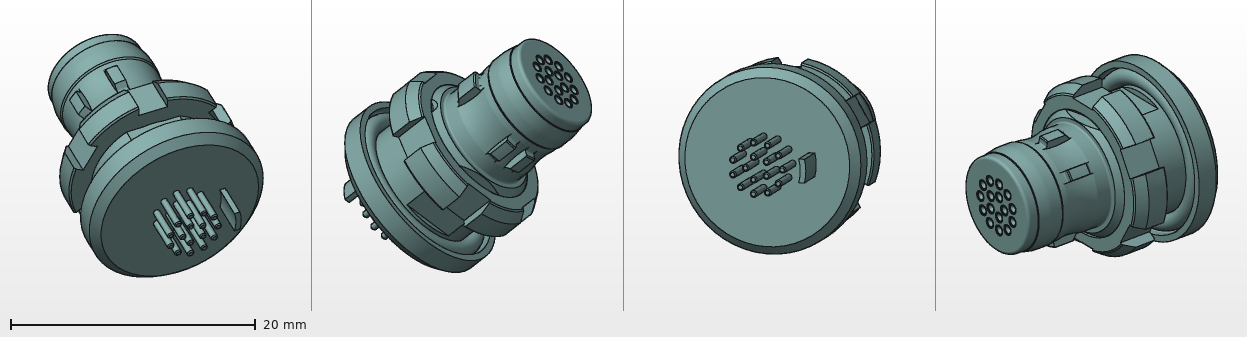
import cadquery as cq
import math


nose_radius = 4.22
nose_round = 0.27
nose_end = 0.98
barrel_start = 1.05
barrel_start_radius = 4.28
barrel_crown = 2.23
barrel_radius = 4.47
barrel_end = 3.32
neck_start = 3.48
neck_radius = 4.37
waist_start = 4.08
waist_end = 7.01
waist_sag = 0.18

body_front = 8.45
body_radius = 5.51
body_bevel = 0.57
body_flat_distance = 4.98
body_root_fillet = 0.16

notch_half_width = 0.75
notch_bottom = 5.1
notch_top = 5.45
notch_round_radius = 1.15
notch_depth = 0.68

nut_front = 8.95
nut_rear = 12.01
nut_radius = 7.45
nut_front_radius = 6.7
nut_front_edge = 0.1
nut_bevel_length = 1.02
nut_bevel_height = 0.6
nut_rear_chamfer = 0.15
nut_countersink = 0.45
nut_slot_count = 6
nut_slot_width = 2.55
nut_slot_floor = 6.45

flange_front = 14.96
flange_rear = 17.49
flange_radius = 7.75
flange_chamfer = 0.74
seal_groove_radius = 7.18
seal_outer_radius = 7.0

coding_keys = [(-90, 1.93), (5.8, 1.0), (52.6, 0.96), (162.2, 1.0), (188.5, 1.0)]
key_radius = 4.96
key_front = 4.47
key_edge = 0.1
key_top_end = 6.4
key_ramp_end = 6.85
key_root_fillet = 0.1
key_inner_radius = 3.9

contact_rings = [(11, 2.15, 0), (5, 0.98, 180)]
pin_radius = 0.29
pin_chamfer = 0.1
pin_end = 20.5
socket_radius = 0.47
socket_chamfer = 0.06
socket_cone_radius = 0.33
socket_cone_depth = 0.33

prong_outer_radius = 4.16
prong_inner_radius = 3.7
prong_half_width = 0.98

axis_start = (0, 0, 0)
axis_end = (1, 0, 0)


def revolve_about_x(profile):
    """Revolve a closed (x, radius) profile around the part axis."""
    return profile.close().revolve(360, axis_start, axis_end)


def cylinder_x(start, end, radius, y=0.0, z=0.0):
    return cq.Workplane("YZ", origin=(start, y, z)).circle(radius).extrude(end - start)


def make_nose():
    round_middle = nose_round * (1 - math.sqrt(0.5))
    waist_middle = (waist_start + waist_end) / 2
    waist_radius = (neck_radius + barrel_radius) / 2 - waist_sag
    barrel_run = barrel_crown - barrel_start
    barrel_rise = barrel_radius - barrel_start_radius
    fillet_middle = body_root_fillet * (1 - math.sqrt(0.5))
    profile = (
        cq.Workplane("XY")
        .lineTo(0, nose_radius - nose_round)
        .threePointArc((round_middle, nose_radius - round_middle), (nose_round, nose_radius))
        .lineTo(nose_end, nose_radius)
        .lineTo(barrel_start, barrel_start_radius)
        .threePointArc(
            (barrel_crown - barrel_run / 2, barrel_radius - barrel_rise / 4),
            (barrel_crown, barrel_radius),
        )
        .lineTo(barrel_end, barrel_radius)
        .lineTo(neck_start, neck_radius)
        .lineTo(waist_start, neck_radius)
        .threePointArc((waist_middle, waist_radius), (waist_end, barrel_radius))
        .lineTo(body_front - body_root_fillet, barrel_radius)
        .threePointArc(
            (body_front - fillet_middle, barrel_radius + fillet_middle),
            (body_front, barrel_radius + body_root_fillet),
        )
        .lineTo(body_front, 0)
    )
    return revolve_about_x(profile)


def make_body():
    """Threaded body, bevelled in front and flattened at +Z and -Z up to the flange."""
    profile = (
        cq.Workplane("XY")
        .moveTo(body_front, 0)
        .lineTo(body_front, body_radius - body_bevel)
        .lineTo(body_front + body_bevel, body_radius)
        .lineTo(flange_front, body_radius)
        .lineTo(flange_front, 0)
    )
    length = flange_front - body_front
    flats = cq.Workplane("XY").box(length, 2 * body_radius, 2 * body_flat_distance)
    flats = flats.translate((body_front + length / 2, 0, 0))
    return revolve_about_x(profile).intersect(flats)


def make_notch():
    """Round-bottomed notch on the +Y side that cuts through the body bevel."""
    edge_rise = notch_round_radius - math.sqrt(notch_round_radius**2 - notch_half_width**2)
    return (
        cq.Workplane("YZ", origin=(body_front, 0, 0))
        .moveTo(notch_top, -notch_half_width)
        .lineTo(notch_bottom + edge_rise, -notch_half_width)
        .threePointArc((notch_bottom, 0), (notch_bottom + edge_rise, notch_half_width))
        .lineTo(notch_top, notch_half_width)
        .close()
        .extrude(notch_depth)
    )


def make_nut():
    bevel_end = nut_front + nut_bevel_length
    bore_radius = body_radius - nut_countersink
    profile = (
        cq.Workplane("XY")
        .moveTo(nut_front + nut_countersink, bore_radius)
        .lineTo(nut_front, body_radius)
        .lineTo(nut_front, nut_front_radius)
        .lineTo(nut_front + nut_front_edge, nut_radius - nut_bevel_height)
        .lineTo(bevel_end, nut_radius)
        .lineTo(nut_rear - nut_rear_chamfer, nut_radius)
        .lineTo(nut_rear, nut_radius - nut_rear_chamfer)
        .lineTo(nut_rear, bore_radius)
    )
    nut = revolve_about_x(profile)
    slot = (
        cq.Workplane("XY", origin=(nut_front, 0, nut_slot_floor))
        .rect(2 * nut_rear, nut_slot_width)
        .extrude(nut_radius)
    )
    for index in range(nut_slot_count):
        nut = nut.cut(slot.rotate(axis_start, axis_end, index * 360 / nut_slot_count))
    return nut


def make_flange():
    flange = (
        cylinder_x(flange_front, flange_rear, flange_radius)
        .faces(">X")
        .chamfer(flange_chamfer)
    )
    ring_radius = (seal_outer_radius - body_radius) / 2
    ring_centre_radius = body_radius + ring_radius
    ring_centre_x = flange_front + ring_radius
    gap = seal_groove_radius - seal_outer_radius
    fillet_middle = gap * (1 - math.sqrt(0.5))
    groove = revolve_about_x(
        cq.Workplane("XY")
        .moveTo(flange_front, body_radius)
        .lineTo(flange_front, seal_groove_radius)
        .lineTo(ring_centre_x - gap, seal_groove_radius)
        .threePointArc(
            (ring_centre_x - fillet_middle, seal_groove_radius - fillet_middle),
            (ring_centre_x, seal_outer_radius),
        )
        .lineTo(ring_centre_x, body_radius)
    )
    ring = revolve_about_x(
        cq.Workplane("XY")
        .moveTo(ring_centre_x, body_radius)
        .threePointArc((flange_front, ring_centre_radius), (ring_centre_x, seal_outer_radius))
    )
    return flange.cut(groove).union(ring)


def make_key(angle, width):
    """Ring with the key's lengthwise shape, trimmed to the key's width."""
    ramp_run = key_ramp_end - key_top_end
    ramp_drop = key_radius - barrel_radius
    root_share = key_root_fillet / math.hypot(ramp_run, ramp_drop)
    fillet_middle = key_root_fillet * (1 - math.sqrt(0.5))
    profile = (
        cq.Workplane("XY")
        .moveTo(waist_start, key_inner_radius)
        .lineTo(waist_start, neck_radius)
        .lineTo(key_front - key_root_fillet, neck_radius)
        .threePointArc(
            (key_front - fillet_middle, neck_radius + fillet_middle),
            (key_front, neck_radius + key_root_fillet),
        )
        .lineTo(key_front, key_radius - key_edge)
        .lineTo(key_front + key_edge, key_radius)
        .lineTo(key_top_end, key_radius)
        .lineTo(key_ramp_end - root_share * ramp_run, barrel_radius + root_share * ramp_drop)
        .tangentArcPoint((key_ramp_end + key_root_fillet, barrel_radius), relative=False)
        .lineTo(waist_end, barrel_radius)
        .lineTo(waist_end, key_inner_radius)
    )
    sector = cq.Workplane("XY").rect(2 * waist_end, width).extrude(2 * key_radius)
    return revolve_about_x(profile).intersect(sector.rotate(axis_start, axis_end, angle))


def contact_positions():
    positions = []
    for count, radius, first_angle in contact_rings:
        for index in range(count):
            angle = math.radians(first_angle + index * 360 / count)
            positions.append((radius * math.cos(angle), radius * math.sin(angle)))
    return positions


def make_pin(y, z):
    return cylinder_x(flange_rear, pin_end, pin_radius, y, z).faces(">X").chamfer(pin_chamfer)


def make_socket(y, z):
    """Shallow chamfered recess with a conical lead-in at its bottom."""
    profile = (
        cq.Workplane("XY")
        .lineTo(0, socket_radius)
        .lineTo(socket_chamfer, socket_radius - socket_chamfer)
        .lineTo(socket_chamfer, socket_cone_radius)
        .lineTo(socket_chamfer + socket_cone_depth, 0)
    )
    return revolve_about_x(profile).translate((0, y, z))


def make_prong():
    """Curved strip on the +Y side, bounded by two flat edges."""
    tube = cylinder_x(flange_rear, pin_end, prong_outer_radius)
    tube = tube.cut(cylinder_x(flange_rear, pin_end, prong_inner_radius))
    strip = (
        cq.Workplane("XZ")
        .rect(2 * pin_end, 2 * prong_half_width)
        .extrude(-prong_outer_radius)
    )
    return tube.intersect(strip)


result = make_nose().union(make_body()).union(make_nut()).cut(make_notch()).union(make_flange())

for key_angle, key_width in coding_keys:
    result = result.union(make_key(key_angle, key_width))

for contact_y, contact_z in contact_positions():
    result = result.union(make_pin(contact_y, contact_z)).cut(make_socket(contact_y, contact_z))

result = result.union(make_prong())